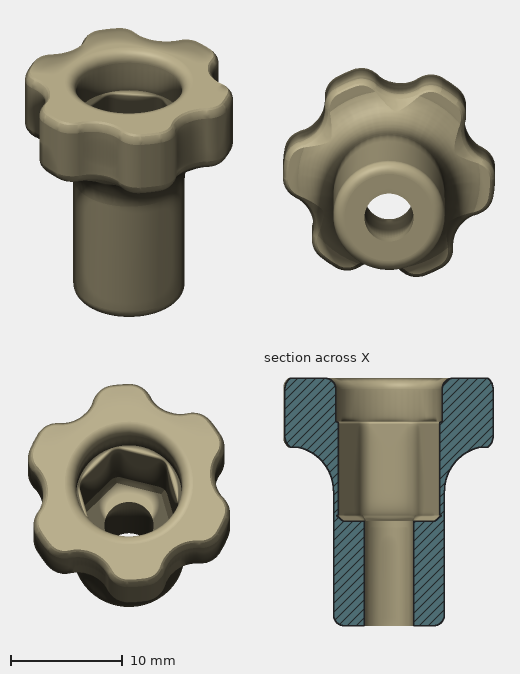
import cadquery as cq
import math

total_height = 22.2
head_height = 6.22
head_bottom = total_height - head_height

lobe_count = 6
lobe_radius = 9.5
lobe_corner_radius = 2.0
valley_radius = 3.0
valley_distance = 10.72
first_lobe_angle = 19.2

rim_chamfer = 0.45
rim_blend_radius = 1.0
underside_depth = 0.98

stem_diameter = 10.0
stem_radius = stem_diameter / 2
stem_end_fillet = 1.0
neck_radius = 4.0
neck_start = 12.08

bore_diameter = 9.5
bore_radius = bore_diameter / 2
bore_depth = 3.9
bore_lip_radius = 1.0
hex_across_flats = 8.08
hex_corner_radius = 1.0
hex_mouth_fillet = 0.2
hex_depth = 8.88
seat_bevel = 0.47
seat_bevel_angle = 45.0
through_diameter = 4.4

bore_floor = total_height - bore_depth
margin = 0.02


def edges_at_level(level, reach):
    """Selector for the edges lying at one height, within a square around the axis."""
    return cq.selectors.BoxSelector(
        (-reach, -reach, level - margin), (reach, reach, level + margin), boundingbox=True
    )


def polar(radius, angle):
    return (radius * math.cos(angle), radius * math.sin(angle))


def toward(start, end, distance):
    """Point at a distance from start on the line to end."""
    span = math.dist(start, end)
    return tuple(a + (b - a) * distance / span for a, b in zip(start, end))


def lobed_outline(height):
    """Closed grip outline at a height."""
    corner_distance = lobe_radius - lobe_corner_radius
    cosine = (corner_distance**2 + valley_distance**2 - (lobe_corner_radius + valley_radius) ** 2) / (
        2 * corner_distance * valley_distance
    )
    corner_angle = math.acos(cosine)
    pitch = 2 * math.pi / lobe_count
    first_lobe = math.radians(first_lobe_angle)

    def rounded_corner(valley_angle, side):
        """Scoop end, corner middle and lobe end of one rounded corner."""
        angle = valley_angle + side * corner_angle
        center = polar(corner_distance, angle)
        scoop_end = toward(center, polar(valley_distance, valley_angle), lobe_corner_radius)
        lobe_end = polar(lobe_radius, angle)
        chord_middle = tuple((a + b) / 2 for a, b in zip(scoop_end, lobe_end))
        return scoop_end, toward(center, chord_middle, lobe_corner_radius), lobe_end

    last_valley = first_lobe - pitch / 2
    outline = cq.Workplane("XY", origin=(0, 0, height)).moveTo(*rounded_corner(last_valley, 1)[2])
    for index in range(lobe_count):
        lobe_angle = first_lobe + index * pitch
        valley_angle = lobe_angle + pitch / 2
        near_scoop, near_middle, near_lobe = rounded_corner(valley_angle, -1)
        far_scoop, far_middle, far_lobe = rounded_corner(valley_angle, 1)
        outline = (
            outline.threePointArc(polar(lobe_radius, lobe_angle), near_lobe)
            .threePointArc(near_middle, near_scoop)
            .threePointArc(polar(valley_distance - valley_radius, valley_angle), far_scoop)
            .threePointArc(far_middle, far_lobe)
        )
    return outline.close()


def make_grip_envelope():
    """Lobed prism with both rims chamfered and blended; the lower chamfer reaches down past the head."""
    bottom = head_bottom - underside_depth
    envelope = lobed_outline(bottom).extrude(total_height - bottom)
    envelope = envelope.faces(">Z").edges().chamfer(rim_chamfer)
    envelope = envelope.faces("<Z").edges().chamfer(rim_chamfer + underside_depth)
    for level in (head_bottom + rim_chamfer, total_height - rim_chamfer):
        envelope = envelope.edges(edges_at_level(level, 2 * lobe_radius)).fillet(rim_blend_radius)
    return envelope


def make_turned_body():
    """Stem, concave neck and an oversize disc at head height."""
    flare_center_x = stem_radius + neck_radius
    top_angle = math.asin((head_bottom - neck_start) / neck_radius)

    def on_flare(angle):
        return (flare_center_x - neck_radius * math.cos(angle), neck_start + neck_radius * math.sin(angle))

    disc_radius = lobe_radius + rim_chamfer
    turned = (
        cq.Workplane("XZ")
        .lineTo(stem_radius, 0)
        .lineTo(stem_radius, neck_start)
        .threePointArc(on_flare(top_angle / 2), on_flare(top_angle))
        .lineTo(disc_radius, head_bottom)
        .lineTo(disc_radius, total_height)
        .lineTo(0, total_height)
        .close()
        .revolve(360, (0, 0), (0, 1))
    )
    return turned.faces("<Z").edges().fillet(stem_end_fillet)


def make_body():
    """Turned body trimmed to the lobed grip, with the stem and lower neck left round."""
    stem_envelope = cq.Workplane("XY").circle(lobe_radius).extrude(head_bottom - underside_depth)
    return make_turned_body().intersect(make_grip_envelope().union(stem_envelope))


def hexagon(height, across_flats):
    """Hexagon with corners on the Y axis."""
    corner_diameter = across_flats / math.cos(math.pi / 6)
    return cq.Workplane("XY", origin=(0, 0, height)).transformed((0, 0, 90)).polygon(6, corner_diameter)


def make_bore():
    """Round bore with a rounded lip at the top."""
    lip_bottom = total_height - bore_lip_radius
    lip_middle = bore_lip_radius * (1 - math.sqrt(0.5))
    return (
        cq.Workplane("XZ")
        .moveTo(0, bore_floor)
        .lineTo(bore_radius, bore_floor)
        .lineTo(bore_radius, lip_bottom)
        .threePointArc(
            (bore_radius + lip_middle, total_height - lip_middle),
            (bore_radius + bore_lip_radius, total_height),
        )
        .lineTo(0, total_height)
        .close()
        .revolve(360, (0, 0), (0, 1))
    )


def make_hex_pocket():
    """Hexagon with rounded corners, ending in a sharp-cornered seat with a sloping edge."""
    seat_top = bore_floor - hex_depth + seat_bevel
    walls = hexagon(seat_top, hex_across_flats).extrude(bore_floor - seat_top)
    walls = walls.edges("|Z").fillet(hex_corner_radius)
    seat = hexagon(seat_top, hex_across_flats).extrude(-seat_bevel, taper=seat_bevel_angle)
    return walls.union(seat)


def round_hex_mouth(part):
    """Fillet where the hexagon opens into the bore floor."""
    return part.edges(edges_at_level(bore_floor, bore_radius - margin)).fillet(hex_mouth_fillet)


through_hole = cq.Workplane("XY").circle(through_diameter / 2).extrude(total_height)
part = make_body().cut(make_bore()).cut(make_hex_pocket()).cut(through_hole)
result = round_hex_mouth(part)